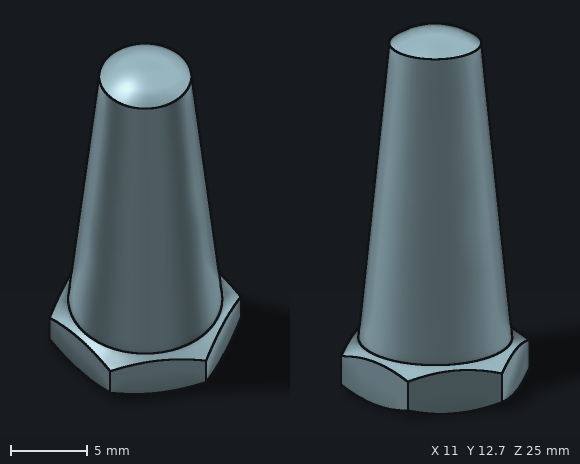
import cadquery as cq
import math

across_flats = 11.0
across_corners = across_flats / math.cos(math.radians(30))
corner_radius = across_corners / 2
base_height = 3.3
chamfer_slope = math.tan(math.radians(30))
bottom_face_radius = 5.45

total_height = 25.0
dome_height = 1.0
pin_base_radius = 5.05
pin_tip_radius = 3.02
shoulder_height = total_height - dome_height


def chamfer_height(face_radius):
    """Height of the corner chamfer that starts at the given face radius."""
    return (corner_radius - face_radius) * chamfer_slope


def make_base():
    """Hexagon with corners on the Y axis, its corners trimmed by two cones."""
    hexagon = (
        cq.Workplane("XY")
        .polygon(6, across_corners)
        .extrude(base_height)
        .rotate((0, 0, 0), (0, 0, 1), 90)
    )
    envelope = (
        cq.Workplane("XZ")
        .lineTo(bottom_face_radius, 0)
        .lineTo(corner_radius, chamfer_height(bottom_face_radius))
        .lineTo(corner_radius, base_height - chamfer_height(pin_base_radius))
        .lineTo(pin_base_radius, base_height)
        .lineTo(0, base_height)
        .close()
        .revolve(360, (0, 0, 0), (0, 1, 0))
    )
    return hexagon.intersect(envelope)


def make_pin():
    """Revolved cone closed by a spherical cap."""
    dome_radius = (pin_tip_radius**2 + dome_height**2) / (2 * dome_height)
    half_angle = math.asin(pin_tip_radius / dome_radius) / 2
    dome_middle = (
        dome_radius * math.sin(half_angle),
        total_height - dome_radius * (1 - math.cos(half_angle)),
    )
    return (
        cq.Workplane("XZ")
        .moveTo(0, base_height)
        .lineTo(pin_base_radius, base_height)
        .lineTo(pin_tip_radius, shoulder_height)
        .threePointArc(dome_middle, (0, total_height))
        .close()
        .revolve(360, (0, 0, 0), (0, 1, 0))
    )


result = make_base().union(make_pin())